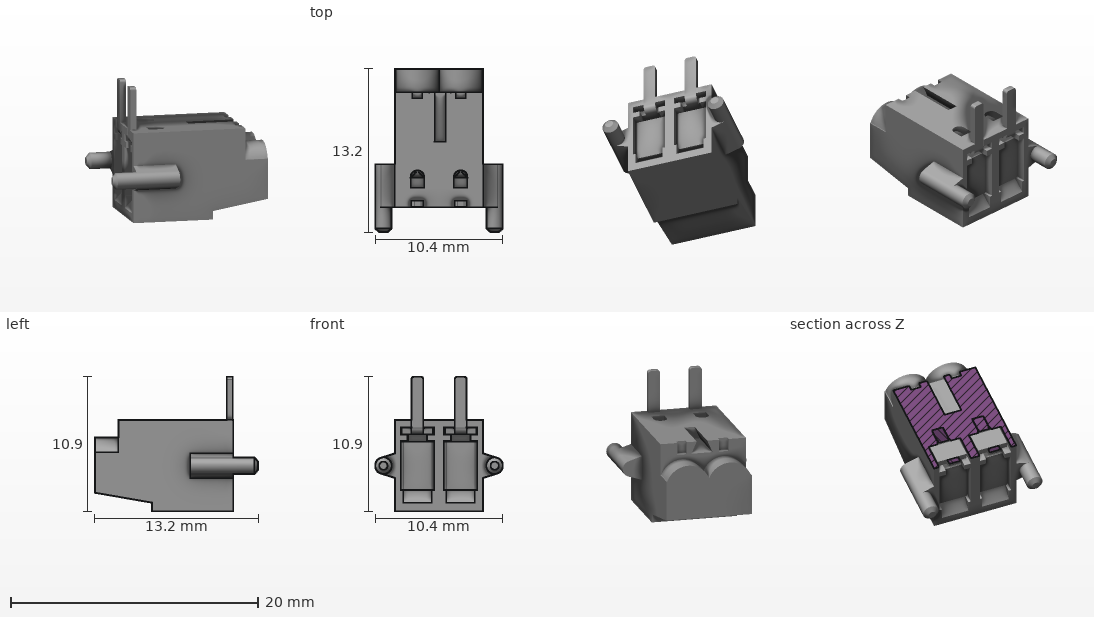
import cadquery as cq
import math

pole_pitch = 3.5
pole_centers = (-pole_pitch / 2, pole_pitch / 2)

housing_width = 7.15
housing_height = 7.4
top_length = 9.3
housing_length = 11.2
base_length = 6.6
base_step = 0.7
wire_end_bottom = 1.5
ledge_height = 4.8
crown_rise = 1.2

peg_spacing = 9.0
peg_radius = 0.675
peg_height = 3.7
peg_reach = 2.0
peg_chamfer_length = 0.3
peg_tip_radius = 0.335
web_length = 3.5
web_root_half_height = 1.0

dovetail_center = 0.09
dovetail_mouth = 0.88
dovetail_length = 4.0
dovetail_depth = 1.0
dovetail_angle = 23.6
notch_width = 0.8
notch_length = 0.45
notch_depth = 1.0

cavity_width = 2.72
cavity_depth = 2.4
cage_pocket_bottom = 1.7
cage_pocket_top = 5.7
neck_width = 1.62
leg_slot_bottom = 6.2
leg_slot_top = 6.8
ramp_width = 2.3
ramp_bottom = 0.7
fit_gap = 0.05

opening_width = 1.1
opening_start = 1.6
opening_end = 3.0

pin_width = 0.98
pin_thickness = 0.5
pin_length = 3.5
pin_tip_radius = 0.22
arm_width = 2.5
arm_start = 0.65

cage_front = 0.65
cage_edge_radius = 0.2
cage_tongue_start = 1.65

rod_radius = 0.55
rod_axis_height = 6.48
rod_end = 4.0

leg_bottom = leg_slot_bottom + fit_gap
leg_top = leg_bottom + pin_thickness
pin_top = housing_height + pin_length
pin_back = fit_gap + pin_thickness


def box(width, y_range, z_range, x=0):
    """Box centred on x, spanning the given Y and Z ranges."""
    y_start, y_end = y_range
    z_start, z_end = z_range
    size = (width, y_end - y_start, z_end - z_start)
    return cq.Workplane("XY").box(*size, centered=(True, False, False)).translate((x, y_start, z_start))


def housing_block():
    """Stepped side profile of the housing, without the crowns."""
    side_profile = [
        (0, 0),
        (base_length, 0),
        (base_length, base_step),
        (housing_length, wire_end_bottom),
        (housing_length, ledge_height),
        (top_length, ledge_height),
        (top_length, housing_height),
        (0, housing_height),
    ]
    return cq.Workplane("YZ").polyline(side_profile).close().extrude(housing_width / 2, both=True)


def crown(x):
    """Arched crown standing on the ledge at the wire end of one pole."""
    half_chord = pole_pitch / 2
    return (
        cq.Workplane("XZ", origin=(x, housing_length, ledge_height))
        .moveTo(-half_chord, 0)
        .threePointArc((0, crown_rise), (half_chord, 0))
        .close()
        .extrude(housing_length - top_length)
    )


def peg_with_web(side):
    """Locating peg on one side (-1 or 1), joined to the housing by a web tangent to it."""
    peg_x = peg_spacing / 2
    root_x = housing_width / 2
    root_offset = peg_x - root_x
    root_distance = math.hypot(root_offset, web_root_half_height)
    tangent_angle = math.atan2(web_root_half_height, -root_offset) - math.acos(peg_radius / root_distance)
    tangent_x = side * (peg_x + peg_radius * math.cos(tangent_angle))
    tangent_z = peg_radius * math.sin(tangent_angle)
    peg = (
        cq.Workplane("XZ", origin=(side * peg_x, web_length, peg_height))
        .circle(peg_radius)
        .extrude(web_length + peg_reach - peg_chamfer_length)
        .faces("<Y")
        .workplane()
        .circle(peg_radius)
        .workplane(offset=peg_chamfer_length)
        .circle(peg_tip_radius)
        .loft(ruled=True)
    )
    web_outline = [
        (side * root_x, web_root_half_height),
        (tangent_x, tangent_z),
        (side * peg_x, 0),
        (tangent_x, -tangent_z),
        (side * root_x, -web_root_half_height),
        (0, -web_root_half_height),
        (0, web_root_half_height),
    ]
    web = (
        cq.Workplane("XZ", origin=(0, web_length, peg_height))
        .polyline(web_outline)
        .close()
        .extrude(web_length)
    )
    return peg.union(web)


def dovetail_slot():
    """Slot in the top face that widens downward, open at the wire end."""
    undercut = dovetail_depth * math.tan(math.radians(dovetail_angle))
    half_mouth = dovetail_mouth / 2
    outline = [
        (-half_mouth, 0),
        (half_mouth, 0),
        (half_mouth + undercut, -dovetail_depth),
        (-half_mouth - undercut, -dovetail_depth),
    ]
    return (
        cq.Workplane("XZ", origin=(dovetail_center, top_length, housing_height))
        .polyline(outline)
        .close()
        .extrude(dovetail_length)
    )


def key_notch(x):
    """Notch in the upper edge of the wire end of one pole."""
    notch_bottom = housing_height - notch_depth
    return box(notch_width, (top_length - notch_length, top_length), (notch_bottom, housing_height), x)


def ramp(x):
    """45-degree lead-in below the cage pocket."""
    ramp_rise = cage_pocket_bottom - ramp_bottom
    outline = [
        (0, ramp_bottom),
        (ramp_rise, cage_pocket_bottom),
        (0, cage_pocket_bottom),
    ]
    return (
        cq.Workplane("YZ", origin=(x, 0, 0))
        .polyline(outline)
        .close()
        .extrude(ramp_width / 2, both=True)
    )


def pole_cavity(x):
    """Everything open at the pin side of one pole: cage pocket, neck, leg slot, pin notch and ramp."""
    depth = (0, cavity_depth)
    cage_pocket = box(cavity_width, depth, (cage_pocket_bottom, cage_pocket_top), x)
    neck = box(neck_width, depth, (cage_pocket_top, leg_slot_bottom), x)
    leg_slot = box(cavity_width, depth, (leg_slot_bottom, leg_slot_top), x)
    pin_notch = box(pin_width, (0, pin_back), (leg_slot_top, housing_height), x)
    return cage_pocket.union(neck).union(leg_slot).union(pin_notch).union(ramp(x))


def test_opening(x):
    """Opening in the top face, round at its wire end, that shows the leg and the rod."""
    radius = opening_width / 2
    round_center = opening_end - radius
    depth = housing_height - rod_axis_height
    straight = box(opening_width, (opening_start, round_center), (rod_axis_height, housing_height), x)
    rounded = cq.Workplane("XY", origin=(x, round_center, rod_axis_height)).circle(radius).extrude(depth)
    return straight.union(rounded)


def make_contact(x):
    """Pin that bends at its foot into a leg with side arms."""
    profile = (
        cq.Workplane("YZ", origin=(x, 0, 0))
        .moveTo(fit_gap, pin_top)
        .lineTo(fit_gap, leg_top)
        .radiusArc((pin_back, leg_bottom), -pin_thickness)
        .lineTo(cavity_depth, leg_bottom)
        .lineTo(cavity_depth, leg_top)
        .lineTo(pin_back, leg_top)
        .lineTo(pin_back, pin_top)
        .close()
        .extrude(pin_width / 2, both=True)
    )
    bent_pin = profile.faces(">Z").edges("|Y").fillet(pin_tip_radius)
    arms = box(arm_width, (arm_start, cavity_depth), (leg_bottom, leg_top), x)
    return bent_pin.union(arms)


def make_cage(x):
    """Cage block with rounded front uprights and a tongue that reaches up the neck to the leg."""
    bottom = cage_pocket_bottom + fit_gap
    top = cage_pocket_top - fit_gap
    block = box(cavity_width, (cage_front, cavity_depth), (bottom, top), x)
    block = block.edges("|Z and <Y").fillet(cage_edge_radius)
    tongue_width = neck_width - 2 * fit_gap
    tongue = box(tongue_width, (cage_tongue_start, cavity_depth), (top, leg_bottom), x)
    return block.union(tongue)


def make_rod(x):
    """Round rod along Y whose front is rounded over by a crosswise cylinder."""
    round_center = cavity_depth + rod_radius
    rod = (
        cq.Workplane("XZ", origin=(x, rod_end, rod_axis_height))
        .circle(rod_radius)
        .extrude(rod_end - cavity_depth)
    )
    cross_round = (
        cq.Workplane("YZ", origin=(x, round_center, rod_axis_height))
        .circle(rod_radius)
        .extrude(rod_radius, both=True)
    )
    diameter = 2 * rod_radius
    rod_height = (rod_axis_height - rod_radius, rod_axis_height + rod_radius)
    shank = box(diameter, (round_center, rod_end), rod_height, x)
    return rod.intersect(cross_round.union(shank))


def make_housing(rods):
    """Housing with crowns, pegs, slots and cavities, and a bed for each rod."""
    housing = housing_block()
    for x in pole_centers:
        housing = housing.union(crown(x))
    for side in (-1, 1):
        housing = housing.union(peg_with_web(side))
    housing = housing.cut(dovetail_slot())
    for x in pole_centers:
        housing = housing.cut(key_notch(x)).cut(pole_cavity(x)).cut(test_opening(x))
    for rod in rods:
        housing = housing.cut(rod)
    return housing


contacts = [make_contact(x) for x in pole_centers]
cages = [make_cage(x) for x in pole_centers]
rods = [make_rod(x) for x in pole_centers]
housing = make_housing(rods)

result = cq.Compound.makeCompound([body.val() for body in [housing, *contacts, *cages, *rods]])